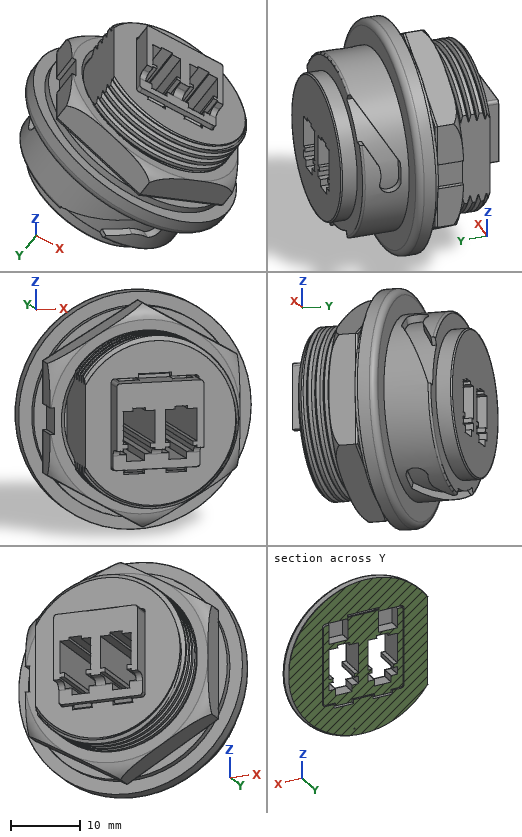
import cadquery as cq
import math


flange_radius = 17.5
flange_thickness = 2.8
flange_round = 0.98
bayonet_radius = 13.65
bayonet_end_y = 9.85
bayonet_round = 0.3
spigot_radius = 11.0
spigot_end_y = 12.3
spigot_chamfer = 0.2
gasket_radius = 15.55
gasket_thickness = 1.0

slot_count = 3
slot_floor_radius = 12.5
slot_end_y = 5.67
slot_end_radius = 1.65
slot_bend_z = 2.8
slot_entry_low_z = 6.02
slot_entry_high_z = 11.72
slot_entry_depth = 0.63
slot_bend_offset = 0.2

nut_apothem = 14.28
nut_front_y = -5.35
nut_crown_round = 3.15
nut_corner_drop = 1.55
nut_bore_radius = 11.97
nut_countersink = 0.63
nut_back_chamfer_length = 0.3
nut_back_chamfer_inset = 0.15
nut_notch_width = 3.92
nut_notch_depth = 0.65

thread_radius = 12.75
thread_end_y = -10.7
thread_end_chamfer = 0.63
thread_pitch = 1.25
groove_depth = 0.6
groove_mouth = 0.7
groove_root = 0.1
groove_overlap = 0.18
groove_start_y = -4.38
blank_extra_length = 4 * thread_pitch
barrel_flat_x = -10.5

block_width = 13.1
block_top_z = 6.5
block_bottom_z = -6.6
block_front_y = -13.4
block_corner_round = 0.5
lip_front_y = -11.45
lip_top_z = -3.43
lip_round = 0.98

opening_depth = 1.4
opening_width = 13.23
opening_top_z = 6.75
opening_bottom_z = -6.72

tongue_width = 4.97
tongue_notch_top_z = 7.35
tongue_top_z = 7.05
tongue_length = 0.35
tongue_pocket_width = 3.08
tongue_pocket_depth = 3.15
tongue_pocket_length = 3.5
tongue_pocket_front_y = -11.15
ramp_width = 2.73
ramp_rise = 0.5
ramp_run = 0.3
ramp_notch_width = 3.08
ramp_notch_bottom_z = -7.35

port_pitch = 6.35
port_half_width = 2.38
port_top_z = 2.38
port_bottom_z = -4.27
port_key_half_width = 0.95
port_key_top_z = 2.8
port_slot_half_width = 1.33
port_slot_bottom_z = -5.32
rail_gap_half_width = 1.7
rail_top_z = -2.45
rail_bottom_z = -3.1

port_centers = (-port_pitch / 2, port_pitch / 2)
nut_back_y = -gasket_thickness
opening_floor_y = thread_end_y + opening_depth


def disc(radius, y_low, y_high):
    """Cylinder about the Y axis between two Y positions."""
    return cq.Workplane("XZ", origin=(0, y_low, 0)).circle(radius).extrude(y_low - y_high)


def box_between(x_low, x_high, y_low, y_high, z_low, z_high):
    """Axis-aligned box given by its limits."""
    size = (x_high - x_low, y_high - y_low, z_high - z_low)
    return cq.Workplane("XY", origin=(x_low, y_low, z_low)).box(*size, centered=False)


def centered_box(x_center, width, y_low, y_high, z_low, z_high):
    """Axis-aligned box centred on an X position."""
    return box_between(x_center - width / 2, x_center + width / 2, y_low, y_high, z_low, z_high)


def bayonet_slot():
    """Curved J slot at the -X side: round closed end, slanted run and an entry at the bayonet end face."""
    low_y = slot_end_y - slot_end_radius
    high_y = slot_end_y + slot_end_radius
    entry_y = bayonet_end_y - slot_entry_depth
    outline = (
        cq.Workplane("YZ", origin=(-flange_radius, 0, 0))
        .moveTo(low_y, 0)
        .threePointArc((slot_end_y, -slot_end_radius), (high_y, 0))
        .threePointArc((high_y - slot_bend_offset, slot_bend_z / 2), (high_y, slot_bend_z))
        .lineTo(entry_y, slot_entry_low_z)
        .lineTo(spigot_end_y, slot_entry_low_z)
        .lineTo(spigot_end_y, slot_entry_high_z)
        .lineTo(bayonet_end_y - bayonet_round, slot_entry_high_z)
        .lineTo(low_y, slot_bend_z)
        .close()
        .extrude(flange_radius)
    )
    entry_angle = math.asin(slot_entry_high_z / bayonet_radius)
    beyond_entry_wall = (
        cq.Workplane("XZ", origin=(0, spigot_end_y, 0))
        .polyline([
            (0, 0),
            (-2 * flange_radius * math.cos(entry_angle), 2 * flange_radius * math.sin(entry_angle)),
            (0, 2 * flange_radius),
        ])
        .close()
        .extrude(spigot_end_y)
    )
    return outline.cut(disc(slot_floor_radius, 0, spigot_end_y)).cut(beyond_entry_wall)


def turned_body():
    """Flange, gasket, bayonet sleeve with its slots, and the spigot."""
    bayonet = disc(bayonet_radius, 0, bayonet_end_y).faces(">Y").edges().fillet(bayonet_round)
    slot = bayonet_slot()
    for index in range(slot_count):
        bayonet = bayonet.cut(slot.rotate((0, 0, 0), (0, 1, 0), index * 360 / slot_count))
    flange = disc(flange_radius, 0, flange_thickness).faces(">Y").edges().fillet(flange_round)
    spigot = disc(spigot_radius, 0, spigot_end_y).faces(">Y").edges().chamfer(spigot_chamfer)
    gasket = disc(gasket_radius, nut_back_y, 0)
    return bayonet.union(flange).union(spigot).union(gasket)


def hexagon(apothem, y_position):
    """Hexagon sketch facing -Y with flats at +X and -X."""
    corner_diameter = 2 * apothem / math.cos(math.pi / 6)
    plane = cq.Plane(origin=(0, y_position, 0), xDir=(0, 0, 1), normal=(0, -1, 0))
    return cq.Workplane(plane).polygon(6, corner_diameter)


def nut():
    """Nut with a rounded front crown, bevelled back edges, countersunk bore and a notch in the -X flat."""
    straight_start_y = nut_back_y - nut_back_chamfer_length
    bevel_angle = math.degrees(math.atan(nut_back_chamfer_inset / nut_back_chamfer_length))
    body = hexagon(nut_apothem, straight_start_y).extrude(straight_start_y - nut_front_y)
    bevel = hexagon(nut_apothem, straight_start_y).extrude(-nut_back_chamfer_length, taper=bevel_angle)
    corner_radius = nut_apothem / math.cos(math.pi / 6)
    crown = (
        cq.Workplane("XY")
        .moveTo(0, nut_front_y)
        .lineTo(nut_apothem, nut_front_y)
        .radiusArc((corner_radius, nut_front_y + nut_corner_drop), -nut_crown_round)
        .lineTo(corner_radius, nut_back_y)
        .lineTo(0, nut_back_y)
        .close()
        .revolve(360, (0, 0, 0), (0, 1, 0))
    )
    bore = (
        cq.Workplane("XY")
        .moveTo(0, nut_front_y)
        .lineTo(nut_bore_radius + nut_countersink, nut_front_y)
        .lineTo(nut_bore_radius, nut_front_y + nut_countersink)
        .lineTo(nut_bore_radius, nut_back_y)
        .lineTo(0, nut_back_y)
        .close()
        .revolve(360, (0, 0, 0), (0, 1, 0))
    )
    notch = box_between(
        -flange_radius, -nut_apothem + nut_notch_depth,
        nut_front_y, nut_back_y,
        -nut_notch_width / 2, nut_notch_width / 2,
    )
    return body.union(bevel).intersect(crown).cut(bore).cut(notch)


def thread_groove():
    """Right-hand helical V groove that runs out through the barrel end."""
    length = groove_start_y - thread_end_y + thread_pitch
    slope = (groove_mouth - groove_root) / 2 / groove_depth
    mouth_half = groove_mouth / 2 + slope * groove_overlap
    path = cq.Wire.makeHelix(thread_pitch, length, thread_radius)
    profile = cq.Workplane("XZ").polyline([
        (thread_radius + groove_overlap, -mouth_half),
        (thread_radius + groove_overlap, mouth_half),
        (thread_radius - groove_depth, groove_root / 2),
        (thread_radius - groove_depth, -groove_root / 2),
    ]).close()
    groove = profile.sweep(cq.Workplane(path), isFrenet=True)
    return groove.rotate((0, 0, 0), (1, 0, 0), 90).translate((0, groove_start_y, 0))


def threaded_barrel():
    """Threaded barrel with a flat along its -X side, trimmed to a chamfered end after threading."""
    blank_end_y = thread_end_y - blank_extra_length
    blank = disc(thread_radius, blank_end_y, nut_back_y)
    envelope = disc(thread_radius, thread_end_y, nut_back_y).faces("<Y").edges().chamfer(thread_end_chamfer)
    blank = blank.rotate((0, 0, 0), (0, 1, 0), 180)
    envelope = envelope.rotate((0, 0, 0), (0, 1, 0), 180)
    flat = box_between(
        -flange_radius, barrel_flat_x,
        blank_end_y, nut_back_y,
        -flange_radius, flange_radius,
    )
    return blank.cut(flat).cut(thread_groove()).intersect(envelope)


def face_opening():
    """Clearance around the block with notches for the upper tongue and the two lower ramps."""
    y_limits = (thread_end_y, opening_floor_y)
    opening = centered_box(0, opening_width, *y_limits, opening_bottom_z, opening_top_z)
    opening = opening.edges("|Y").fillet(block_corner_round)
    opening = opening.union(centered_box(0, tongue_width, *y_limits, 0, tongue_notch_top_z))
    for center in port_centers:
        opening = opening.union(centered_box(center, ramp_notch_width, *y_limits, ramp_notch_bottom_z, 0))
    return opening


def latch_ramp(center):
    """Catch below the block: a sloped face that levels off towards the floor of the opening."""
    return (
        cq.Workplane("YZ", origin=(center - ramp_width / 2, 0, 0))
        .polyline([
            (thread_end_y, block_bottom_z),
            (thread_end_y + ramp_run, block_bottom_z - ramp_rise),
            (opening_floor_y, block_bottom_z - ramp_rise),
            (opening_floor_y, block_bottom_z),
        ])
        .close()
        .extrude(ramp_width)
    )


def connector_block():
    """Block with a stepped-back lower lip, an upper tongue and lower ramps."""
    block = centered_box(0, block_width, block_front_y, opening_floor_y, block_bottom_z, block_top_z)
    block = block.edges("|Y").fillet(block_corner_round)
    step = (
        cq.Workplane("YZ", origin=(-block_width / 2, 0, 0))
        .moveTo(block_front_y, lip_top_z)
        .lineTo(lip_front_y - lip_round, lip_top_z)
        .radiusArc((lip_front_y, lip_top_z - lip_round), lip_round)
        .lineTo(lip_front_y, block_bottom_z)
        .lineTo(block_front_y, block_bottom_z)
        .close()
        .extrude(block_width)
    )
    block = block.cut(step)
    tongue_front_y = opening_floor_y - tongue_length
    block = block.union(centered_box(0, tongue_width, tongue_front_y, opening_floor_y, 0, tongue_top_z))
    for center in port_centers:
        block = block.union(latch_ramp(center))
    return block


def tongue_pocket(center):
    """Deep pocket in the top of the block, beside the tongue and reaching under the barrel."""
    return centered_box(
        center, tongue_pocket_width,
        tongue_pocket_front_y, tongue_pocket_front_y + tongue_pocket_length,
        block_top_z - tongue_pocket_depth, block_top_z,
    )


def port_window(center):
    """Through window with a key on top, a pair of side rails and a slot at the bottom."""
    half_outline = [
        (port_key_half_width, port_key_top_z),
        (port_key_half_width, port_top_z),
        (port_half_width, port_top_z),
        (port_half_width, rail_top_z),
        (rail_gap_half_width, rail_top_z),
        (rail_gap_half_width, rail_bottom_z),
        (port_half_width, rail_bottom_z),
        (port_half_width, port_bottom_z),
        (port_slot_half_width, port_bottom_z),
        (port_slot_half_width, port_slot_bottom_z),
    ]
    mirrored = [(-x, z) for x, z in reversed(half_outline)]
    return (
        cq.Workplane("XZ", origin=(center, spigot_end_y, 0))
        .polyline(half_outline + mirrored)
        .close()
        .extrude(spigot_end_y - block_front_y)
    )


result = turned_body().union(threaded_barrel()).union(nut())
result = result.cut(face_opening()).union(connector_block())
pocket_offset = (tongue_width + tongue_pocket_width) / 2
for pocket_center in (-pocket_offset, pocket_offset):
    result = result.cut(tongue_pocket(pocket_center))
for port_center in port_centers:
    result = result.cut(port_window(port_center))